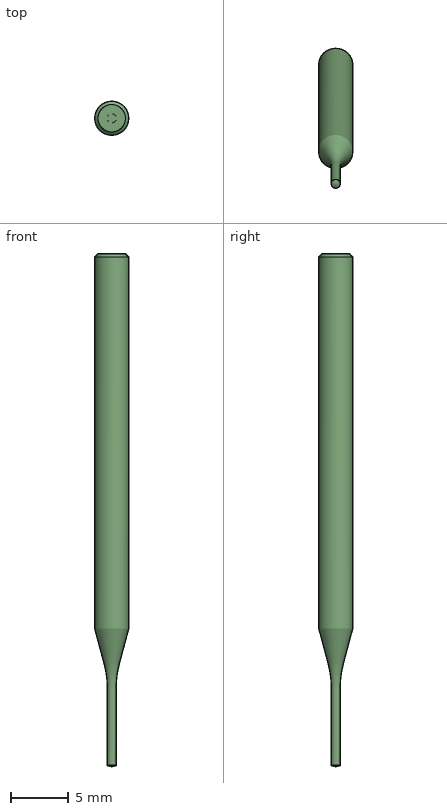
import cadquery as cq
import math

overall_length = 45.0
shank_diameter = 3.0
shank_chamfer = 0.3
neck_diameter = 0.8
neck_end = 6.95
flare_arc_radius = 8.0
taper_half_angle = math.radians(15.0)
tip_length = 0.15
point_half_angle = math.radians(75.0)

shank_radius = shank_diameter / 2
neck_radius = neck_diameter / 2
point_height = neck_radius / math.tan(point_half_angle)


def flare_point(angle):
    """(radius, height) on the flare where its wall leans outward by the given angle."""
    radius = neck_radius + flare_arc_radius * (1 - math.cos(angle))
    height = neck_end + flare_arc_radius * math.sin(angle)
    return radius, height


flare_middle = flare_point(taper_half_angle / 2)
flare_top = flare_point(taper_half_angle)
flare_top_radius, flare_top_height = flare_top
taper_top = flare_top_height + (shank_radius - flare_top_radius) / math.tan(taper_half_angle)


def revolve_about_z(outline):
    """Close an outline of (radius, height) points and turn it about the Z axis."""
    axis_start = (0, 0)
    axis_end = (0, 1)
    return outline.close().revolve(360, axis_start, axis_end)


def make_shank():
    """Chamfered shank with a conical taper that flares into a long, slim neck."""
    outline = (
        cq.Workplane("XZ")
        .moveTo(0, tip_length)
        .lineTo(neck_radius, tip_length)
        .lineTo(neck_radius, neck_end)
        .threePointArc(flare_middle, flare_top)
        .lineTo(shank_radius, taper_top)
        .lineTo(shank_radius, overall_length - shank_chamfer)
        .lineTo(shank_radius - shank_chamfer, overall_length)
        .lineTo(0, overall_length)
    )
    return revolve_about_z(outline)


def make_cutting_tip():
    """Shallow conical point on a short cylinder that butts against the end of the neck."""
    outline = (
        cq.Workplane("XZ")
        .moveTo(0, 0)
        .lineTo(neck_radius, point_height)
        .lineTo(neck_radius, tip_length)
        .lineTo(0, tip_length)
    )
    return revolve_about_z(outline)


shank = make_shank()
cutting_tip = make_cutting_tip()

result = cq.Compound.makeCompound([shank.val(), cutting_tip.val()])